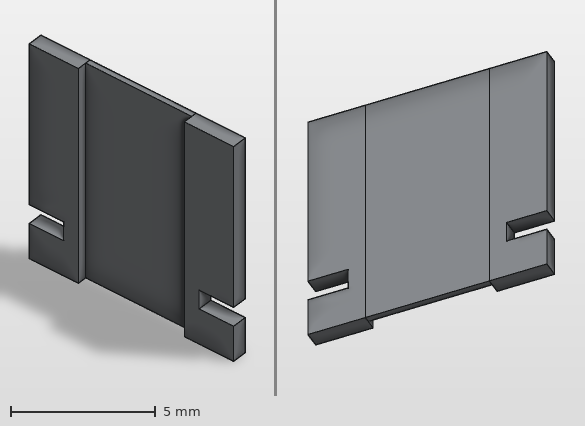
import cadquery as cq

total_width = 9.14
total_height = 9.4
bar_thickness = 0.64

bar_width = 2.2
web_width = total_width - 2 * bar_width
web_thickness = 0.24

notch_depth = 1.54
notch_height = 0.82
notch_bottom = 1.54

back_y = bar_thickness / 2
bottom_z = -total_height / 2


def make_block(width, thickness, height, center_x, base_z):
    """Block that is centred in X on center_x, ends at the back plane and stands on base_z."""
    return (
        cq.Workplane("XY")
        .box(width, thickness, height, centered=(True, False, False))
        .translate((center_x, back_y - thickness, base_z))
    )


def make_side_bar(side):
    """Bar with a notch through its outer edge; side is -1 for left, +1 for right."""
    bar_x = side * (total_width - bar_width) / 2
    notch_x = side * (total_width - notch_depth) / 2
    bar = make_block(bar_width, bar_thickness, total_height, bar_x, bottom_z)
    notch = make_block(notch_depth, bar_thickness, notch_height, notch_x, bottom_z + notch_bottom)
    return bar.cut(notch)


def make_web():
    """Thin plate that fills the gap between the two bars."""
    return make_block(web_width, web_thickness, total_height, 0, bottom_z)


side_bars = [make_side_bar(side) for side in (-1, 1)]
web = make_web()

result = cq.Compound.makeCompound([web.val(), *[bar.val() for bar in side_bars]])